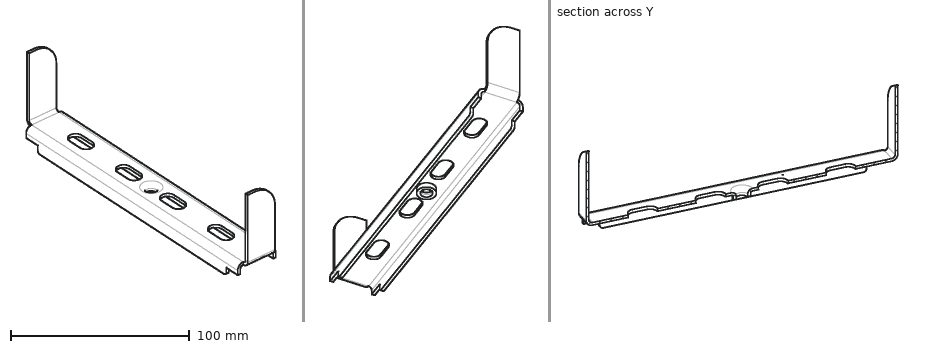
import cadquery as cq

total_length = 191.0
total_width = 28.0
total_height = 59.2
bend_radius = 4.0
sheet = bend_radius / 2
inner_bend_radius = bend_radius - sheet

channel_height = 12.5
notch_length = 10.0
notch_height = 5.2
flange_corner_radius = sheet
tab_corner_radius = 15.0

slot_length = 18.0
slot_width = 9.0
slot_centers = (19.1, 60.5)

hole_diameter = 6.9
hole_rim_radius = 3.0
collar_diameter = 11.0
collar_drop = 3.0

diagonal = 0.5 ** 0.5
channel_length = total_length - 2 * bend_radius
inside_width = total_width - 2 * sheet
web_width = total_width - 2 * bend_radius
web_top = channel_height


def make_channel():
    """Downward-open channel with rounded bends and notched flange ends."""
    outer = (
        cq.Workplane("XY")
        .box(channel_length, total_width, channel_height, centered=(True, True, False))
        .edges("|X and >Z")
        .fillet(bend_radius)
    )
    inner = (
        cq.Workplane("XY")
        .box(channel_length, inside_width, channel_height - sheet, centered=(True, True, False))
        .edges("|X and >Z")
        .fillet(inner_bend_radius)
    )
    channel = outer.cut(inner)
    for side in (-1, 1):
        notch = cq.Workplane("XY").box(
            notch_length, total_width, notch_height, centered=(True, True, False)
        )
        channel = channel.cut(notch.translate((side * (channel_length - notch_length) / 2, 0, 0)))
    return channel.edges("|Y and <Z").edges("<X or >X").fillet(flange_corner_radius)


def make_tab():
    """Upright tab at the +X end, with its bend and one rounded top corner."""
    bend_start = channel_length / 2
    outer_face = total_length / 2
    web_bottom = web_top - sheet
    bend_center_z = web_bottom + bend_radius
    tab = (
        cq.Workplane("XZ")
        .moveTo(bend_start, web_bottom)
        .threePointArc(
            (bend_start + bend_radius * diagonal, bend_center_z - bend_radius * diagonal),
            (outer_face, bend_center_z),
        )
        .lineTo(outer_face, total_height)
        .lineTo(outer_face - sheet, total_height)
        .lineTo(outer_face - sheet, bend_center_z)
        .threePointArc(
            (bend_start + inner_bend_radius * diagonal, bend_center_z - inner_bend_radius * diagonal),
            (bend_start, web_top),
        )
        .close()
        .extrude(web_width / 2, both=True)
    )
    return tab.edges("|X and >Y and >Z").fillet(tab_corner_radius)


def cut_slots(body):
    """Four lengthwise slots, symmetric about the middle."""
    positions = [(side * center, 0) for side in (-1, 1) for center in slot_centers]
    slots = (
        cq.Workplane("XY", origin=(0, 0, web_top - sheet))
        .pushPoints(positions)
        .slot2D(slot_length, slot_width)
        .extrude(sheet)
    )
    return body.cut(slots)


def add_drawn_hole(body):
    """Central hole with a collar below the web and a rounded mouth above."""
    collar_height = sheet + collar_drop
    collar = (
        cq.Workplane("XY", origin=(0, 0, web_top - collar_height))
        .circle(collar_diameter / 2)
        .extrude(collar_height)
    )
    hole_radius = hole_diameter / 2
    mouth_radius = hole_radius + hole_rim_radius
    rim_bottom = web_top - hole_rim_radius
    opening = (
        cq.Workplane("XZ")
        .moveTo(0, web_top)
        .lineTo(mouth_radius, web_top)
        .threePointArc(
            (mouth_radius - hole_rim_radius * diagonal, rim_bottom + hole_rim_radius * diagonal),
            (hole_radius, rim_bottom),
        )
        .lineTo(hole_radius, web_top - collar_height)
        .lineTo(0, web_top - collar_height)
        .close()
        .revolve(360, (0, 0, 0), (0, 1, 0))
    )
    return body.union(collar).cut(opening)


right_tab = make_tab()
left_tab = right_tab.mirror("YZ")
bracket = make_channel().union(right_tab).union(left_tab)
result = add_drawn_hole(cut_slots(bracket))